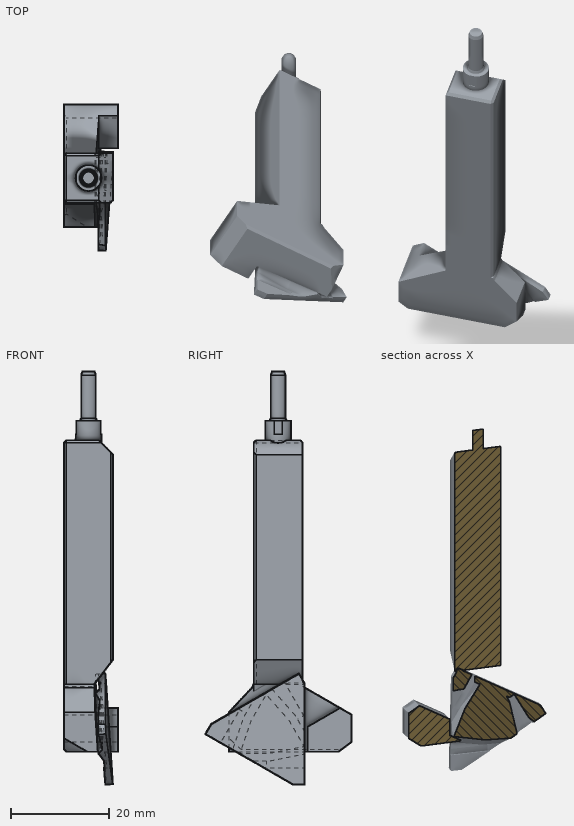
import cadquery as cq
import math


SHANK_SIZE = 10.0
SHANK_TOP = 63.4
SHANK_FOOT = 13.8
EDGE_BEVEL = 0.5
TOP_SLANT = 2.9
LOWER_SLANT_DEPTH = 3.8
LOWER_SLANT_TOP = 18.7
COLLAR_DIAMETER = 5.3
COLLAR_HEIGHT = 3.95
COLLAR_ROOT = 0.8
COLLAR_FLATS_WIDTH = 5.0
COLLAR_FLATS_HEIGHT = 2.8
PIN_DIAMETER = 3.0
PIN_TOP = 77.3
PIN_TIP_HEIGHT = 0.75
PIN_TIP_INSET = 0.25
PIN_FLARE_HEIGHT = 0.5
PIN_FLARE_WIDTH = 0.25

HEAD_DEPTH = 11.0
HEAD_HEEL = 14.95
HEAD_HEEL_TOP = 7.6
HEEL_CHAMFER_LENGTH = 2.7
HEEL_CHAMFER_HEIGHT = 2.0
HEAD_TOE = -10.0
HEAD_TOE_TOP = 8.1
SHOULDER_DROP = 0.75
SHOULDER_OFFSET = 0.3
CORNER_CUT = (4.8, 3.0, 2.8)
STOP_WALL = 6.05
STOP_WALL_TOP = 5.1
SLOPE = math.radians(30)

INSERT_TILT = math.radians(4.4)
SEAT_CENTRE = (6.9, -1.7, 4.2)
INSERT_SIDE = 24.6
CORNER_TRIM = 1.35
HUB_THICKNESS = 2.1
TIP_THICKNESS = 1.5
WEB_THICKNESS = 1.2
HUB_REACH_SIDE = 3.0
HUB_REACH_MIDDLE = 4.45
HUB_WALL_ANGLE = 60
TOOTH_LENGTH = 3.45
FLANK_RELIEF = 0.2
RAMP_LENGTH = 1.35
RAMP_DEPTH = 0.2
RAMP_WIDTH = 7.8
TOOTH_COUNT = 3
TOOTH_ANGLE = 360 / TOOTH_COUNT

half_shank = SHANK_SIZE / 2
inradius = INSERT_SIDE / (2 * math.sqrt(3))
tooth_tip = INSERT_SIDE / 2 - CORNER_TRIM
tip_width = CORNER_TRIM * math.sqrt(3)
tooth_root = tooth_tip - TOOTH_LENGTH
web_height = HUB_THICKNESS - WEB_THICKNESS
tip_height = HUB_THICKNESS - TIP_THICKNESS
OVERSIZE = 50.4

seat_plane = cq.Plane(
    origin=SEAT_CENTRE,
    xDir=(0, math.cos(SLOPE), math.sin(SLOPE)),
    normal=(
        math.cos(INSERT_TILT),
        -math.sin(INSERT_TILT) * math.sin(SLOPE),
        math.sin(INSERT_TILT) * math.cos(SLOPE),
    ),
)


def insert_outline():
    """Triangle with each corner cut square to one of its sides, centred on the seat."""
    points = []
    for tooth in range(TOOTH_COUNT):
        turn = math.radians(tooth * TOOTH_ANGLE)
        for x, y in ((tooth_tip, inradius - tip_width), (tooth_tip, inradius)):
            points.append((
                x * math.cos(turn) - y * math.sin(turn),
                x * math.sin(turn) + y * math.cos(turn),
            ))
    return cq.Workplane(seat_plane).polyline(points).close()


def make_shank():
    """Square bar with bevelled edges, slanted at the top and above the insert on its +X face."""
    lower_slant_end = SHANK_SIZE - LOWER_SLANT_DEPTH
    root = HEAD_TOE_TOP
    bar = (
        cq.Workplane("XY", origin=(half_shank, 0, root))
        .rect(SHANK_SIZE, SHANK_SIZE)
        .extrude(SHANK_TOP - root)
        .edges("(|Z and <Y) or (>Z and <X) or (>Z and <Y) or (>Z and >Y)")
        .chamfer(EDGE_BEVEL)
    )
    side_profile = (
        cq.Workplane("XZ", origin=(0, half_shank, 0))
        .polyline([
            (0, root),
            (0, SHANK_TOP),
            (SHANK_SIZE - TOP_SLANT, SHANK_TOP),
            (SHANK_SIZE, SHANK_TOP - TOP_SLANT),
            (SHANK_SIZE, LOWER_SLANT_TOP),
            (lower_slant_end, SHANK_FOOT),
            (lower_slant_end, root),
        ])
        .close()
        .extrude(SHANK_SIZE)
    )
    return bar.intersect(side_profile)


def make_spigot():
    """Collar with two flats, carrying the slim pin."""
    collar_top = SHANK_TOP + COLLAR_HEIGHT
    pin_radius = PIN_DIAMETER / 2
    collar_radius = COLLAR_DIAMETER / 2
    spigot = (
        cq.Workplane("XZ")
        .polyline([
            (0, SHANK_TOP - COLLAR_ROOT),
            (collar_radius, SHANK_TOP - COLLAR_ROOT),
            (collar_radius, collar_top),
            (pin_radius + PIN_FLARE_WIDTH, collar_top),
            (pin_radius, collar_top + PIN_FLARE_HEIGHT),
            (pin_radius, PIN_TOP - PIN_TIP_HEIGHT),
            (pin_radius - PIN_TIP_INSET, PIN_TOP),
            (0, PIN_TOP),
        ])
        .close()
        .revolve(360, (0, 0, 0), (0, 1, 0))
    )
    for side in (-1, 1):
        flat = cq.Workplane().box(
            COLLAR_DIAMETER, COLLAR_DIAMETER, COLLAR_FLATS_HEIGHT, centered=(True, True, False)
        )
        offset = side * (COLLAR_FLATS_WIDTH + COLLAR_DIAMETER) / 2
        spigot = spigot.cut(flat.translate((offset, 0, collar_top - COLLAR_FLATS_HEIGHT)))
    return spigot.translate((half_shank, 0, 0))


def make_head():
    """Plate behind the insert plus the full-depth stop block beside it."""
    rise = math.tan(SLOPE)
    heel = [
        (HEAD_HEEL - HEEL_CHAMFER_LENGTH, 0),
        (HEAD_HEEL, HEEL_CHAMFER_HEIGHT),
        (HEAD_HEEL, HEAD_HEEL_TOP),
    ]
    plate = (
        cq.Workplane("YZ")
        .polyline([
            (HEAD_TOE, 0),
            *heel,
            (half_shank, HEAD_HEEL_TOP + (HEAD_HEEL - half_shank) * rise),
            (half_shank, SHANK_FOOT),
            (-half_shank, SHANK_FOOT),
            (-half_shank - SHOULDER_OFFSET, SHANK_FOOT - SHOULDER_DROP),
            (HEAD_TOE, HEAD_TOE_TOP),
        ])
        .close()
        .extrude(HEAD_DEPTH)
    )
    plate = plate.cut(cq.Workplane(seat_plane).rect(OVERSIZE, OVERSIZE).extrude(OVERSIZE))

    ridge = (HEAD_HEEL + STOP_WALL + (HEAD_HEEL_TOP - STOP_WALL_TOP) / rise) / 2
    stop = (
        cq.Workplane("YZ")
        .polyline([
            (STOP_WALL, 0),
            *heel,
            (ridge, HEAD_HEEL_TOP + (HEAD_HEEL - ridge) * rise),
            (STOP_WALL, STOP_WALL_TOP),
        ])
        .close()
        .extrude(HEAD_DEPTH)
    )
    head = plate.union(stop)
    head = head.faces("<Z").edges("<X").chamfer(EDGE_BEVEL)
    return head.cut(corner_block())


def corner_block():
    """Block whose slanted face bevels the lower back corner of the toe."""
    length_x, length_y, length_z = CORNER_CUT
    bevel_plane = cq.Plane(
        origin=(length_x, HEAD_TOE, 0),
        xDir=(-length_x, length_y, 0),
        normal=(-1 / length_x, -1 / length_y, -1 / length_z),
    )
    return cq.Workplane(bevel_plane).rect(OVERSIZE, OVERSIZE).extrude(OVERSIZE)


def make_holder():
    """Shank, spigot and head in one piece, with a pocket for the insert's upper tooth."""
    pocket = insert_outline().extrude(OVERSIZE)
    return make_head().union(make_shank().cut(pocket)).union(make_spigot())


def tooth_side_profile(points):
    """Closed outline along a tooth (x) and up from the seat (y), on the tooth's straight side."""
    side_plane = cq.Plane(
        origin=seat_plane.toWorldCoords((0, inradius, 0)),
        xDir=seat_plane.xDir,
        normal=-seat_plane.yDir,
    )
    return cq.Workplane(side_plane).polyline(points).close()


def tooth_gap():
    """Space between the seat and one tooth, ending at the sloped wall of the thicker hub."""
    margin = INSERT_SIDE
    lean = (HUB_REACH_MIDDLE - HUB_REACH_SIDE) / inradius
    plan = (
        cq.Workplane(seat_plane)
        .polyline([
            (HUB_REACH_MIDDLE - lean * margin, margin),
            (HUB_REACH_MIDDLE, 0),
            (HUB_REACH_MIDDLE, -margin),
            (margin, -margin),
            (margin, margin),
        ])
        .close()
        .extrude(web_height, taper=HUB_WALL_ANGLE)
    )
    profile = tooth_side_profile([
        (-margin, 0),
        (margin, 0),
        (margin, tip_height),
        (tooth_tip, tip_height),
        (tooth_root, tip_height + FLANK_RELIEF),
        (tooth_root, web_height),
        (-margin, web_height),
    ])
    return plan.intersect(profile.extrude(INSERT_SIDE))


def tooth_relief():
    """Ramp that thins the web just behind one tooth."""
    ramp = tooth_side_profile([
        (tooth_root, web_height),
        (tooth_root, web_height + RAMP_DEPTH),
        (tooth_root - RAMP_LENGTH, web_height),
    ])
    return ramp.extrude(RAMP_WIDTH)


def make_insert():
    """Hub and three thinner teeth in one piece."""
    body = insert_outline().extrude(HUB_THICKNESS)
    axis_end = seat_plane.toWorldCoords((0, 0, 0.8))
    for tooth in range(TOOTH_COUNT):
        for cutter in (tooth_gap(), tooth_relief()):
            body = body.cut(cutter.rotate(seat_plane.origin, axis_end, tooth * TOOTH_ANGLE))
    return body


holder = make_holder()
insert = make_insert()

result = cq.Compound.makeCompound([holder.solids().val(), insert.solids().val()])